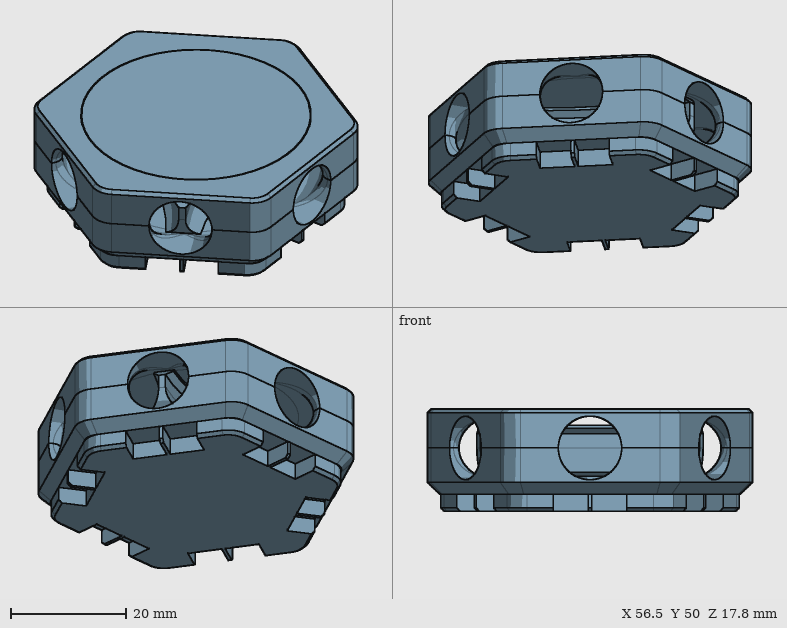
import cadquery as cq
import math

ACROSS_FLATS = 50.0
CORNER_RADIUS = 4.0
TOTAL_HEIGHT = 17.8
TOP_CHAMFER = 0.6

SLOPE_INSET = 2.0
SLOPE_CORNER_RADIUS = 3.0
SLOPE_TOP_Z = 5.05
FOOT_HEIGHT = 3.0
FOOT_CHAMFER = 0.6
FOOT_FLATS = ACROSS_FLATS - 2 * SLOPE_INSET
NOTCH_WIDTH = 12.75
NOTCH_DEPTH = 5.0
RIB_WIDTH = 0.6

JOINT_Z = 11.0
OPENING_DIAMETER = 11.0
OPENING_EDGE_RADIUS = 2.0

CAVITY_RADIUS = 23.4
CAVITY_WALL_RADIUS = 5.6
CAVITY_WALL_CENTER = CAVITY_RADIUS - CAVITY_WALL_RADIUS
FLOOR_Z = JOINT_Z - CAVITY_WALL_RADIUS
CEILING_Z = JOINT_Z + CAVITY_WALL_RADIUS

DISC_DIAMETER = 39.8
RECESS_DIAMETER = 40.0
DISC_THICKNESS = 0.6

CORE_BOTTOM_Z = 6.1
CORE_BOTTOM_CHAMFER = 0.7
CORE_TOP_Z = 15.0
CORE_SIDE_RADIUS = 38.15
CORE_SIDE_CENTER = 44.75
CORE_FLARE_RADIUS = 5.0
CORE_HEAD_OVERHANG = 1.15
CORE_HEAD_LOWER_Z = 13.45
CORE_HEAD_UPPER_Z = 14.45
CORE_TIP = 22.4
CORE_TIP_ROUND = 5.55
CORE_TIP_BEVEL = CORE_TOP_Z - CORE_HEAD_LOWER_Z
PIVOT_DIAMETER = 5.0

FACE_ANGLES = [30 + 60 * i for i in range(6)]
CORE_SIDE_ANGLES = [30, 150, 270]
CORE_TIP_ANGLES = [90, 210, 330]


def hexagon(flats, radius):
    """Outline of a hexagon with rounded corners, two of them on the X axis."""
    corner_distance = flats / 2 / math.cos(math.radians(30))
    return cq.Sketch().regularPolygon(corner_distance, 6, angle=30).vertices().fillet(radius)


def hexagonal_block(flats, radius, bottom_z, top_z):
    """Upright hexagonal prism with rounded corners."""
    outline = hexagon(flats, radius)
    return cq.Workplane("XY", origin=(0, 0, bottom_z)).placeSketch(outline).extrude(top_z - bottom_z)


def turned(body, angle):
    """The body turned about the Z axis, by an angle in degrees."""
    return body.rotate((0, 0, 0), (0, 0, 1), angle)


def housing_slope():
    """Sloping stretch that joins the foot to the full-width wall."""
    lower = hexagon(FOOT_FLATS, SLOPE_CORNER_RADIUS)
    upper = hexagon(ACROSS_FLATS, CORNER_RADIUS)
    rise = cq.Location(cq.Vector(0, 0, SLOPE_TOP_Z - FOOT_HEIGHT))
    plane = cq.Workplane("XY", origin=(0, 0, FOOT_HEIGHT))
    return plane.placeSketch(lower, upper.moved(rise)).loft(ruled=True)


def foot():
    """Chamfered hexagonal foot with a notch in each side, halved by a thin rib."""
    body = hexagonal_block(FOOT_FLATS, CORNER_RADIUS, 0, FOOT_HEIGHT)
    body = body.faces("<Z").chamfer(FOOT_CHAMFER)
    pocket_width = (NOTCH_WIDTH - RIB_WIDTH) / 2
    pocket_offset = (NOTCH_WIDTH + RIB_WIDTH) / 4
    pockets = (
        cq.Workplane("XY")
        .pushPoints([(FOOT_FLATS / 2, -pocket_offset), (FOOT_FLATS / 2, pocket_offset)])
        .rect(2 * NOTCH_DEPTH, pocket_width)
        .extrude(FOOT_HEIGHT)
    )
    for angle in FACE_ANGLES:
        body = body.cut(turned(pockets, angle))
    return body


def cavity():
    """Round chamber with a half-round wall that bulges outward at the joint."""
    return (
        cq.Workplane("XZ")
        .moveTo(0, FLOOR_Z)
        .lineTo(CAVITY_WALL_CENTER, FLOOR_Z)
        .threePointArc((CAVITY_RADIUS, JOINT_Z), (CAVITY_WALL_CENTER, CEILING_Z))
        .lineTo(0, CEILING_Z)
        .close()
        .revolve(360, (0, 0, 0), (0, 1, 0))
    )


def openings():
    """Radial bores, one through each side of the housing."""
    bore = cq.Workplane("YZ", origin=(0, 0, JOINT_Z)).circle(OPENING_DIAMETER / 2).extrude(ACROSS_FLATS)
    bores = cq.Workplane("XY")
    for angle in FACE_ANGLES:
        bores = bores.add(turned(bore, angle))
    return bores.combine()


def hollowed(body):
    """The body with its part of the cavity and openings, and rounded inner opening edges."""
    body = body.cut(cavity()).cut(openings())
    inner_edges = [edge for edge in body.edges("%BSPLINE").vals() if is_inner_opening_edge(edge)]
    return body.newObject(inner_edges).fillet(OPENING_EDGE_RADIUS)


def is_inner_opening_edge(edge):
    """True if the edge is a curve along which an opening breaks through the cavity wall."""
    middle = edge.Center()
    return CAVITY_WALL_CENTER < math.hypot(middle.x, middle.y) < CAVITY_RADIUS


def make_base():
    """Lower part of the housing: notched foot, slope and straight wall."""
    wall = hexagonal_block(ACROSS_FLATS, CORNER_RADIUS, SLOPE_TOP_Z, JOINT_Z)
    return hollowed(foot().union(housing_slope()).union(wall))


def top_disc(diameter):
    """Round plate of the disc's thickness, flush with the top of the lid."""
    return cq.Workplane("XY", origin=(0, 0, TOTAL_HEIGHT)).circle(diameter / 2).extrude(-DISC_THICKNESS)


def make_lid():
    """Upper part of the housing, with a round recess in its top."""
    body = hexagonal_block(ACROSS_FLATS, CORNER_RADIUS, JOINT_Z, TOTAL_HEIGHT)
    body = body.faces(">Z").chamfer(TOP_CHAMFER)
    return hollowed(body.cut(top_disc(RECESS_DIAMETER)))


def make_disc():
    """Plate that lies in the recess with a small gap around it."""
    return top_disc(DISC_DIAMETER)


def core_side_space():
    """Round space beside the core, centred on the X axis, that hollows one of its sides."""
    def edge(z):
        drop = JOINT_Z - z
        flare = CORE_FLARE_RADIUS - math.sqrt(CORE_FLARE_RADIUS**2 - drop**2)
        return CORE_SIDE_RADIUS - flare

    flare_z = CORE_BOTTOM_Z + CORE_BOTTOM_CHAMFER
    middle_z = (flare_z + JOINT_Z) / 2
    head = CORE_SIDE_RADIUS - CORE_HEAD_OVERHANG
    return (
        cq.Workplane("XZ")
        .moveTo(0, CORE_BOTTOM_Z)
        .lineTo(edge(flare_z) + CORE_BOTTOM_CHAMFER, CORE_BOTTOM_Z)
        .lineTo(edge(flare_z), flare_z)
        .threePointArc((edge(middle_z), middle_z), (CORE_SIDE_RADIUS, JOINT_Z))
        .lineTo(CORE_SIDE_RADIUS, CORE_HEAD_LOWER_Z)
        .lineTo(head, CORE_HEAD_UPPER_Z)
        .lineTo(head, CORE_TOP_Z)
        .lineTo(0, CORE_TOP_Z)
        .close()
        .revolve(360, (0, 0, 0), (0, 1, 0))
        .translate((CORE_SIDE_CENTER, 0, 0))
    )


def core_tip():
    """Slab bounded outward by the blunt end of one arm: rounded below and bevelled at the top."""
    def rounded(z):
        drop = JOINT_Z - z
        return CORE_TIP - CORE_TIP_ROUND + math.sqrt(CORE_TIP_ROUND**2 - drop**2)

    middle_z = (CORE_BOTTOM_Z + JOINT_Z) / 2
    return (
        cq.Workplane("XZ")
        .moveTo(-CAVITY_RADIUS, CORE_BOTTOM_Z)
        .lineTo(rounded(CORE_BOTTOM_Z), CORE_BOTTOM_Z)
        .threePointArc((rounded(middle_z), middle_z), (CORE_TIP, JOINT_Z))
        .lineTo(CORE_TIP, CORE_HEAD_LOWER_Z)
        .lineTo(CORE_TIP - CORE_TIP_BEVEL, CORE_TOP_Z)
        .lineTo(-CAVITY_RADIUS, CORE_TOP_Z)
        .close()
        .extrude(CAVITY_RADIUS, both=True)
    )


def make_core():
    """Three-armed block with hollowed sides, raised off the floor by a round pivot."""
    body = turned(core_tip(), CORE_TIP_ANGLES[0])
    for angle in CORE_TIP_ANGLES[1:]:
        body = body.intersect(turned(core_tip(), angle))
    for angle in CORE_SIDE_ANGLES:
        body = body.cut(turned(core_side_space(), angle))
    pivot = cq.Workplane("XY", origin=(0, 0, FLOOR_Z)).circle(PIVOT_DIAMETER / 2).extrude(JOINT_Z - FLOOR_Z)
    return body.union(pivot)


base = make_base()
lid = make_lid()
disc = make_disc()
core = make_core()

result = cq.Compound.makeCompound([base.val(), lid.val(), disc.val(), core.val()])